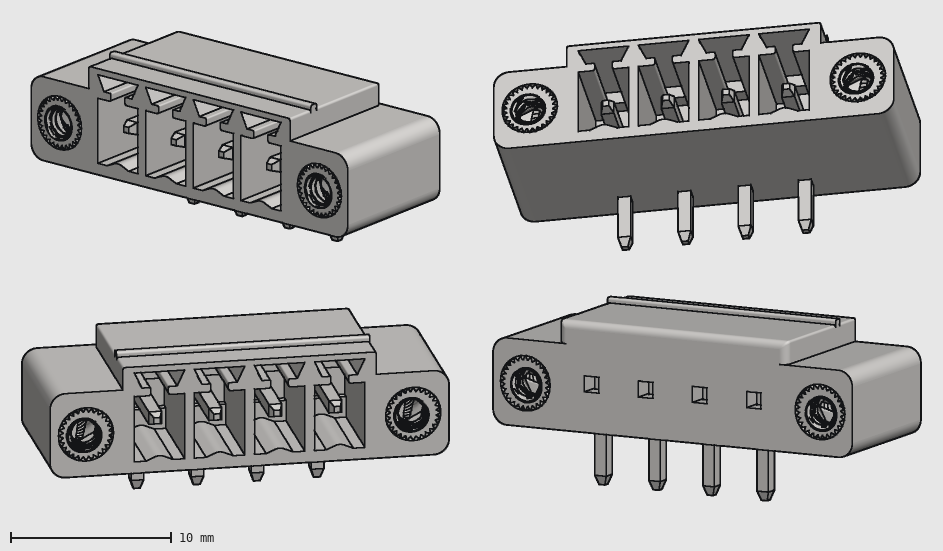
import cadquery as cq
import math

LENGTH = 25.32
DEPTH = 9.15
FLANGE_HEIGHT = 5.52
FLANGE_CORNER_RADIUS = 1.0
BLOCK_LENGTH = 16.08
BLOCK_HEIGHT = 7.0
BLOCK_SIDE_RADIUS = 0.15
BLOCK_BACK_RADIUS = 0.5

RIB_TOP = 7.32
RIB_WIDTH = 0.55
RIB_CENTER_Y = 2.35
RIB_TOP_RADIUS = 0.15
RIB_ROOT = BLOCK_HEIGHT - BLOCK_SIDE_RADIUS

CONTACT_COUNT = 4
CONTACT_PITCH = 3.81
CONTACT_XS = [(i - (CONTACT_COUNT - 1) / 2) * CONTACT_PITCH for i in range(CONTACT_COUNT)]
CONTACT_Z = 3.1

CHAMBER_WIDTH = 3.2
CHAMBER_DEPTH = 6.08
CHAMBER_FLOOR = 0.75
CHAMBER_CEILING = 5.05
FLOOR_BUMP_HEIGHT = 0.3
FLOOR_BUMP_WIDTH = 1.72
FLOOR_BUMP_ARC_WIDTH = 0.65
FLOOR_BUMP_ARC_RISE = 0.08
RECESS_HEIGHT = 1.97
RECESS_DEPTH = 0.5

NECK_WIDTH = 1.11
NECK_LOWER_RADIUS = 0.15
NECK_UPPER_RADIUS = 0.1
DOVETAIL_DEPTH = 5.06
DOVETAIL_FLOOR = 5.57
DOVETAIL_FLOOR_WIDTH = 2.23
DOVETAIL_CEILING = 6.58
DOVETAIL_CEILING_DROP = 0.2

PIN_WIDTH = 0.8
PIN_TIP_WIDTH = 0.4
PIN_TAPER_LENGTH = 0.6
PIN_FRONT_Y = 0.8
PIN_LEG_Y = 7.55
PIN_BOTTOM_Z = -3.5
PIN_HOLE_WIDTH = 1.01

INSERT_OFFSET_X = 10.38
INSERT_XS = [-INSERT_OFFSET_X, INSERT_OFFSET_X]
INSERT_Z = FLANGE_HEIGHT / 2
INSERT_RADIUS = 1.75
KNURL_ROOT_RADIUS = 1.47
KNURL_TEETH = 28
THREAD_MINOR_RADIUS = 0.89
THREAD_MAJOR_RADIUS = 1.25
THREAD_PITCH = 0.45
THREAD_START_ANGLE = 145.0


def box(x_size, y_size, z_size, x_center, y_start, z_start):
    """A block centred on x_center that grows along +Y and +Z from its start corner."""
    return (
        cq.Workplane("XY")
        .box(x_size, y_size, z_size, centered=(True, False, False))
        .translate((x_center, y_start, z_start))
    )


def front_plane():
    """The mating face as a workplane; extruding by -d grows the solid d along +Y."""
    return cq.Workplane("XZ")


def make_block():
    """Raised centre block, with rounded back corners, back edge and sides."""
    block = box(BLOCK_LENGTH, DEPTH, BLOCK_HEIGHT - CHAMBER_FLOOR, 0, 0, CHAMBER_FLOOR)
    rounded_plan = block.edges("|Z and >Y").fillet(BLOCK_BACK_RADIUS)
    rounded_back = block.faces(">Z").edges(">Y").fillet(BLOCK_BACK_RADIUS)
    mitred = rounded_plan.intersect(rounded_back)
    return mitred.faces(">Z").edges("|Y").fillet(BLOCK_SIDE_RADIUS)


def make_rib():
    """Coding rib across the top of the block, flush with its sides."""
    rib_start = RIB_CENTER_Y - RIB_WIDTH / 2
    rib = box(BLOCK_LENGTH, RIB_WIDTH, RIB_TOP - RIB_ROOT, 0, rib_start, RIB_ROOT)
    return rib.faces(">Z").edges("|X").fillet(RIB_TOP_RADIUS)


def make_chamber():
    """Space of one contact chamber, centred on X = 0, with a bump along its floor."""
    arc_end_z = CHAMBER_FLOOR + FLOOR_BUMP_HEIGHT - FLOOR_BUMP_ARC_RISE
    bump = (
        front_plane()
        .moveTo(-FLOOR_BUMP_WIDTH / 2, CHAMBER_FLOOR)
        .lineTo(-FLOOR_BUMP_ARC_WIDTH / 2, arc_end_z)
        .threePointArc(
            (0, CHAMBER_FLOOR + FLOOR_BUMP_HEIGHT),
            (FLOOR_BUMP_ARC_WIDTH / 2, arc_end_z),
        )
        .lineTo(FLOOR_BUMP_WIDTH / 2, CHAMBER_FLOOR)
        .close()
        .extrude(-CHAMBER_DEPTH)
    )
    room = box(CHAMBER_WIDTH, CHAMBER_DEPTH, CHAMBER_CEILING - CHAMBER_FLOOR, 0, 0, CHAMBER_FLOOR)
    recess = box(
        CHAMBER_WIDTH,
        RECESS_DEPTH,
        RECESS_HEIGHT,
        0,
        CHAMBER_DEPTH,
        CONTACT_Z - RECESS_HEIGHT / 2,
    )
    return room.cut(bump).union(recess)


def make_keyway():
    """Dovetail space with a ceiling that falls toward the back, above the chamber."""
    dovetail = (
        front_plane()
        .polyline(
            [
                (-DOVETAIL_FLOOR_WIDTH / 2, DOVETAIL_FLOOR),
                (DOVETAIL_FLOOR_WIDTH / 2, DOVETAIL_FLOOR),
                (CHAMBER_WIDTH / 2, DOVETAIL_CEILING),
                (-CHAMBER_WIDTH / 2, DOVETAIL_CEILING),
            ]
        )
        .close()
        .extrude(-DOVETAIL_DEPTH)
    )
    ceiling_wedge = (
        cq.Workplane("YZ")
        .polyline(
            [
                (0, DOVETAIL_CEILING),
                (DOVETAIL_DEPTH, DOVETAIL_CEILING),
                (DOVETAIL_DEPTH, DOVETAIL_CEILING - DOVETAIL_CEILING_DROP),
            ]
        )
        .close()
        .extrude(CHAMBER_WIDTH, both=True)
    )
    return dovetail.cut(ceiling_wedge)


def make_neck():
    """Slot between chamber and dovetail, its long edges rounded outward."""
    half = NECK_WIDTH / 2
    return (
        front_plane()
        .moveTo(-half - NECK_LOWER_RADIUS, CHAMBER_CEILING)
        .lineTo(half + NECK_LOWER_RADIUS, CHAMBER_CEILING)
        .radiusArc((half, CHAMBER_CEILING + NECK_LOWER_RADIUS), NECK_LOWER_RADIUS)
        .lineTo(half, DOVETAIL_FLOOR - NECK_UPPER_RADIUS)
        .radiusArc((half + NECK_UPPER_RADIUS, DOVETAIL_FLOOR), NECK_UPPER_RADIUS)
        .lineTo(-half - NECK_UPPER_RADIUS, DOVETAIL_FLOOR)
        .radiusArc((-half, DOVETAIL_FLOOR - NECK_UPPER_RADIUS), NECK_UPPER_RADIUS)
        .lineTo(-half, CHAMBER_CEILING + NECK_LOWER_RADIUS)
        .radiusArc((-half - NECK_LOWER_RADIUS, CHAMBER_CEILING), NECK_LOWER_RADIUS)
        .close()
        .extrude(-CHAMBER_DEPTH)
    )


def make_pin_passage():
    """Clearance hole through the back wall and a close-fitting hole for the pin's leg."""
    wall_hole = box(
        PIN_HOLE_WIDTH,
        DEPTH - CHAMBER_DEPTH,
        PIN_HOLE_WIDTH,
        0,
        CHAMBER_DEPTH,
        CONTACT_Z - PIN_HOLE_WIDTH / 2,
    )
    leg_hole = box(PIN_WIDTH, PIN_WIDTH, CONTACT_Z, 0, PIN_LEG_Y - PIN_WIDTH / 2, 0)
    return wall_hole.union(leg_hole)


def make_housing():
    """Flanged housing with its contact chambers and insert bores."""
    base = box(LENGTH, DEPTH, FLANGE_HEIGHT, 0, 0, 0).edges("|Y").fillet(FLANGE_CORNER_RADIUS)
    housing = base.union(make_block()).union(make_rib())
    contact_space = make_chamber().union(make_neck()).union(make_keyway()).union(make_pin_passage())
    for x in CONTACT_XS:
        housing = housing.cut(contact_space.translate((x, 0, 0)))
    insert_bores = (
        front_plane()
        .pushPoints([(x, INSERT_Z) for x in INSERT_XS])
        .circle(INSERT_RADIUS)
        .extrude(-DEPTH)
    )
    return housing.cut(insert_bores)


def pin_tip(base):
    """Tapered tip of a pin, growing along the normal of its base plane."""
    return (
        base.rect(PIN_WIDTH, PIN_WIDTH)
        .workplane(offset=PIN_TAPER_LENGTH)
        .rect(PIN_TIP_WIDTH, PIN_TIP_WIDTH)
        .loft(ruled=True)
    )


def make_pin(x):
    """Right-angled square pin with a tapered tip at each end."""
    half = PIN_WIDTH / 2
    arm_start = PIN_FRONT_Y + PIN_TAPER_LENGTH
    leg_start = PIN_BOTTOM_Z + PIN_TAPER_LENGTH
    bar = (
        cq.Workplane("YZ", origin=(-half, 0, 0))
        .polyline(
            [
                (arm_start, CONTACT_Z + half),
                (PIN_LEG_Y + half, CONTACT_Z + half),
                (PIN_LEG_Y + half, leg_start),
                (PIN_LEG_Y - half, leg_start),
                (PIN_LEG_Y - half, CONTACT_Z - half),
                (arm_start, CONTACT_Z - half),
            ]
        )
        .close()
        .extrude(PIN_WIDTH)
    )
    arm_tip = pin_tip(cq.Workplane("XZ", origin=(0, arm_start, CONTACT_Z)))
    leg_tip = pin_tip(cq.Workplane("XY", origin=(0, PIN_LEG_Y, leg_start)).transformed((180, 0, 0)))
    pin = bar.union(arm_tip).union(leg_tip).solids().val()
    return cq.Workplane(obj=pin).translate((x, 0, 0))


def knurl_outline():
    """Corner points of the toothed outline, one tip pointing along +Z."""
    points = []
    for i in range(2 * KNURL_TEETH):
        angle = math.radians(90) + i * math.pi / KNURL_TEETH
        radius = INSERT_RADIUS if i % 2 == 0 else KNURL_ROOT_RADIUS
        points.append((radius * math.cos(angle), radius * math.sin(angle)))
    return points


def thread_helix(radius, shift):
    """Right-hand helix around the Y axis that runs out past both ends of the insert."""
    run_out = 2 * THREAD_PITCH
    start = cq.Vector(0, shift - run_out, 0)
    return cq.Wire.makeHelix(THREAD_PITCH, DEPTH + 2 * run_out, radius, start, cq.Vector(0, 1, 0))


def thread_flank(side):
    """One flank of the V groove, trimmed to the length of the insert."""
    root = thread_helix(THREAD_MAJOR_RADIUS, 0)
    crest = thread_helix(THREAD_MINOR_RADIUS, side * THREAD_PITCH / 2)
    slab = box(LENGTH, DEPTH, LENGTH, 0, 0, -LENGTH / 2).val()
    flank = cq.Face.makeRuledSurface(root, crest)
    return flank.rotate(cq.Vector(), cq.Vector(0, 1, 0), -THREAD_START_ANGLE).intersect(slab)


def make_insert(x):
    """Knurled bush with a threaded bore, closed up from its walls, flanks and two end rings."""
    body = front_plane().polyline(knurl_outline()).close().extrude(-DEPTH)
    flanks = cq.Workplane().newObject([thread_flank(1), thread_flank(-1)])
    rings = [
        cq.Face.makeFromWires(
            body.faces(end).val().outerWire(),
            [cq.Wire.assembleEdges(flanks.edges(end).vals())],
        )
        for end in ("<Y", ">Y")
    ]
    faces = [*body.faces("not |Y").vals(), *flanks.faces().vals(), *rings]
    insert = cq.Solid.makeSolid(cq.Shell.makeShell(faces))
    return cq.Workplane(obj=insert).translate((x, 0, INSERT_Z))


housing = make_housing()
pins = [make_pin(x) for x in CONTACT_XS]
inserts = [make_insert(x) for x in INSERT_XS]

result = cq.Compound.makeCompound(
    [
        housing.val(),
        *[pin.val() for pin in pins],
        *[insert.val() for insert in inserts],
    ]
)